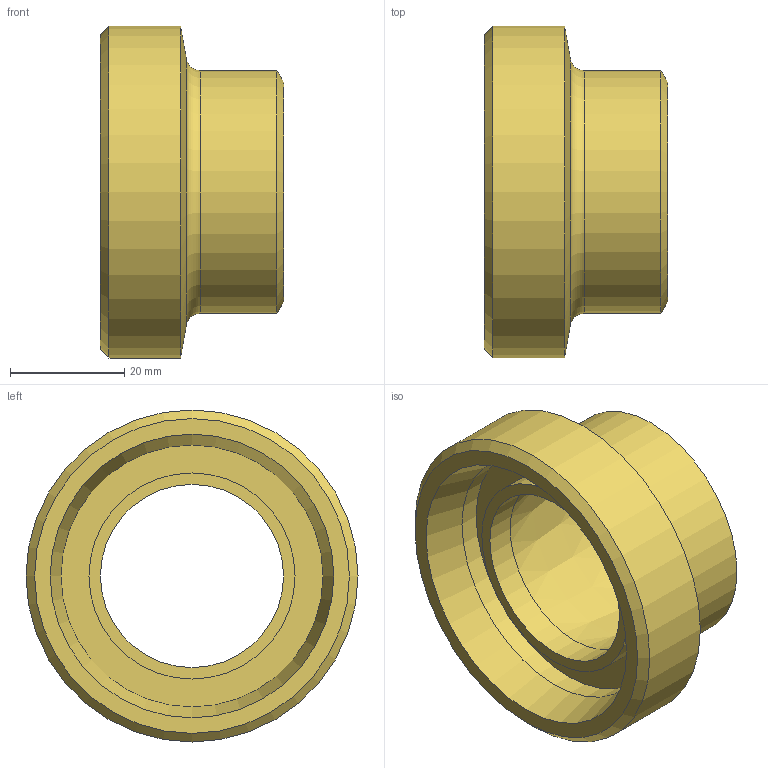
import cadquery as cq
import math

length = 32.0

flange_diameter = 58.0
flange_width = 14.0
flange_chamfer = 1.5
back_slope = math.radians(10.0)

neck_diameter = 42.4
root_radius = 2.5
bevel_angle = math.radians(30.0)
bevel_depth = 2.0

socket_diameter = 45.8
taper_depth = 7.0
taper_angle = math.radians(15.0)
socket_depth = 10.5

ring_diameter = 36.0
ring_face = taper_depth

bore_diameter = 32.0
flare_start = 12.0
flare_diameter = neck_diameter - 2 * bevel_depth


def revolve_about_x(profile):
    """Turn a closed half profile into a solid of revolution about X."""
    return profile.revolve(360, (0, 0, 0), (1, 0, 0))


def make_outer_body():
    """Solid flange and neck, before the inside is hollowed out."""
    flange_radius = flange_diameter / 2
    neck_radius = neck_diameter / 2

    fillet_start_radius = neck_radius + root_radius * (1 - math.sin(back_slope))
    fillet_start_x = flange_width + (flange_radius - fillet_start_radius) * math.tan(back_slope)
    fillet_center_x = fillet_start_x + root_radius * math.cos(back_slope)
    middle_angle = (math.pi / 2 + back_slope) / 2
    fillet_middle = (
        fillet_center_x - root_radius * math.cos(middle_angle),
        neck_radius + root_radius * (1 - math.sin(middle_angle)),
    )
    bevel_start_x = length - bevel_depth * math.tan(bevel_angle)

    profile = (
        cq.Workplane("XY")
        .moveTo(0, 0)
        .lineTo(0, flange_radius - flange_chamfer)
        .lineTo(flange_chamfer, flange_radius)
        .lineTo(flange_width, flange_radius)
        .lineTo(fillet_start_x, fillet_start_radius)
        .threePointArc(fillet_middle, (fillet_center_x, neck_radius))
        .lineTo(bevel_start_x, neck_radius)
        .lineTo(length, neck_radius - bevel_depth)
        .lineTo(length, 0)
        .close()
    )
    return revolve_about_x(profile)


def make_cavity():
    """Socket and bore as one solid, leaving the ring on the socket floor."""
    bore_radius = bore_diameter / 2
    ring_radius = ring_diameter / 2
    socket_radius = socket_diameter / 2
    mouth_radius = socket_radius + taper_depth * math.tan(taper_angle)
    profile = (
        cq.Workplane("XY")
        .moveTo(0, 0)
        .lineTo(0, mouth_radius)
        .lineTo(taper_depth, socket_radius)
        .lineTo(socket_depth, socket_radius)
        .lineTo(socket_depth, ring_radius)
        .lineTo(ring_face, ring_radius)
        .lineTo(ring_face, bore_radius)
        .lineTo(flare_start, bore_radius)
        .lineTo(length, flare_diameter / 2)
        .lineTo(length, 0)
        .close()
    )
    return revolve_about_x(profile)


result = make_outer_body().cut(make_cavity())